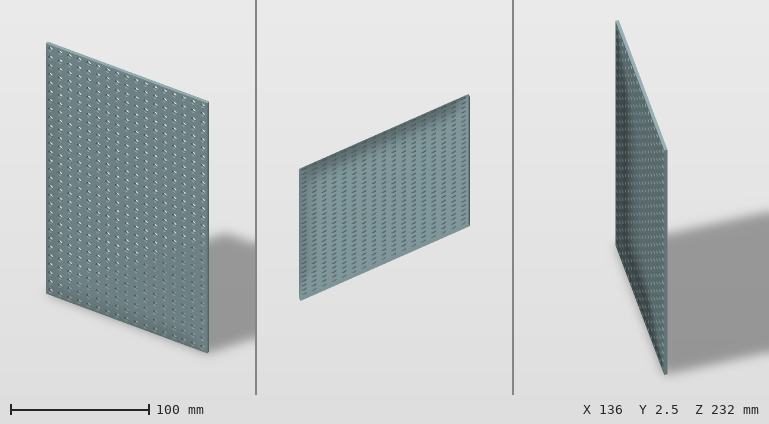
import cadquery as cq

pitch = 8.0
columns = 17
rows = 29
thickness = 2.5
hole_diameter = 4.0

width = columns * pitch
height = rows * pitch


def make_plate():
    """Flat rectangular plate, thin along Y and centred on the origin."""
    return cq.Workplane("XY").box(width, thickness, height)


def drill_hole_grid(plate):
    """Drill a through hole in the middle of every grid cell."""
    return (
        plate.faces("<Y")
        .workplane(centerOption="CenterOfBoundBox")
        .rarray(pitch, pitch, columns, rows)
        .hole(hole_diameter)
    )


result = drill_hole_grid(make_plate())